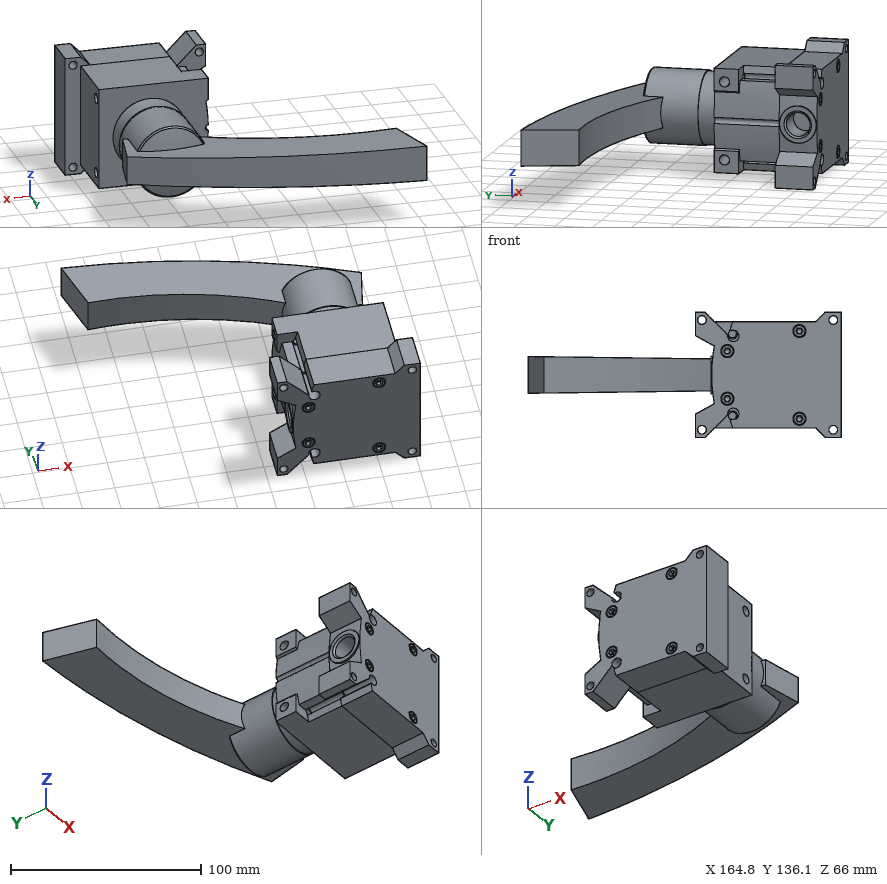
import cadquery as cq
import math


BASE_TOP = 20.5
LUG_FRONT = 42.4
HOUSING_TOP = 55.7
NECK_TOP = 67.5
HUB_EDGE = 97.7
DOME_RISE = 3.1

HOUSING_LEFT = -32.1
HOUSING_RIGHT = 27.7
HALF_HEIGHT = 28.0
SIDE_RADIUS = 89.0

FOOT_LEFT = -40.7
FOOT_RIGHT = 36.1
FOOT_HALF_HEIGHT = 33.0
LEFT_FOOT_FLAT = 5.1
RIGHT_FOOT_FLAT = 8.5
FOOT_INNER_Z = 20.6
FOOT_ROOT_Z = 15.2
FOOT_HOLE_DIAMETER = 4.5
FOOT_HOLE_X = (-37.2, 31.8)
FOOT_HOLE_Z = 28.8

WALL_TOP_X = -21.1
LIP_X = -22.4
LIP_Z = 23.9
BASE_CHANNEL_DIAMETER = 6.0
BASE_CHANNEL_X = -20.8
BASE_CHANNEL_Z = 20.5
HOUSING_CHANNEL_DIAMETER = 5.5
HOUSING_CHANNEL_X = -21.3
HOUSING_CHANNEL_Z = 21.6

SCREW_BORE_DIAMETER = 7.0
SCREW_HEAD_DIAMETER = 6.0
SCREW_SOCKET_DIAMETER = 3.8
SCREW_POINT_DIAMETER = 2.8
SCREW_POINT_DEPTH = 0.8
SCREW_DEPTH = 2.5
SCREW_POINTS = ((-23.9, 12.5), (14.0, 23.0))

PORT_DIAMETER = 12.9
PORT_DEPTH = 16.5
PORT_CHAMFER = 1.0
PORT_BOSS_DIAMETER = 20.0
PORT_BOSS_LEFT = -32.6

LUG_INNER_Z = 15.2
LUG_STEP = 0.8
LUG_HOLE_DIAMETER = 5.5
LUG_HOLE_Y = 50.1
LUG_HOLE_Z = 21.0
GROOVE_WIDTH = 3.3
LUG_PILOT_DIAMETER = 4.1
LUG_PILOT_DEPTH = 4.1

HUB_RADIUS = 40.0 / 2
HUB_CHAMFER = 0.8
NECK_WAIST = 0.5

LEVER_TIP = (-128.7, 136.1)
LEVER_TOP_MIDDLE = (-51.0, 126.9)
LEVER_TOP_END = (25.7, 102.8)
LEVER_HEEL = (21.3, 78.3)
LEVER_INNER_X = -16.5
LEVER_INNER_Y = 86.0
LEVER_BOTTOM_MIDDLE = (-67.9, 103.5)
LEVER_BOTTOM_TIP = (-120.3, 106.8)
LEVER_TIP_HALF_WIDTH = 9.7
LEVER_END_HALF_WIDTH = 7.7


def mirrored(points):
    """Outline points repeated in reverse order on the other side of Z = 0."""
    return [(x, -z) for x, z in reversed(points)]


def side_x(z):
    """X of the curved side at height z."""
    return HOUSING_LEFT + SIDE_RADIUS - math.sqrt(SIDE_RADIUS**2 - z**2)


def prism(sketch, y_start, y_end):
    """Extrude an XZ outline from y_start to y_end; sketch draws it on the given plane."""
    plane = cq.Workplane("XZ", origin=(0, y_start, 0))
    return sketch(plane).extrude(y_start - y_end)


def cylinder_y(diameter, x, z, y_start, y_end):
    return prism(lambda plane: plane.center(x, z).circle(diameter / 2), y_start, y_end)


def cylinder_x(diameter, y, z, x_start, x_end):
    plane = cq.Workplane("YZ", origin=(x_start, y, z))
    return plane.circle(diameter / 2).extrude(x_end - x_start)


def base_channels():
    """Pair of channels with a round bottom, opening between the left foot slope and a steep wall."""
    x, z = BASE_CHANNEL_X, BASE_CHANNEL_Z
    slope_top_x = FOOT_LEFT + LEFT_FOOT_FLAT + FOOT_HALF_HEIGHT - HALF_HEIGHT
    slope_end_x = x - BASE_CHANNEL_DIAMETER / 2
    slope_end_z = HALF_HEIGHT - (slope_end_x - slope_top_x)
    opening = [
        (slope_top_x, HALF_HEIGHT),
        (slope_end_x, slope_end_z),
        (x, z),
        (LIP_X, LIP_Z),
        (WALL_TOP_X, HALF_HEIGHT),
    ]
    upper = prism(lambda plane: plane.polyline(opening).close(), 0, BASE_TOP)
    upper = upper.union(cylinder_y(BASE_CHANNEL_DIAMETER, x, z, 0, BASE_TOP))
    return upper.union(upper.mirror("XY"))


def screw_recess(x, z):
    """Ring gap round a screw head, with a hexagon socket that ends in a cone."""
    gap = cylinder_y(SCREW_BORE_DIAMETER, x, z, 0, SCREW_DEPTH)
    head = cylinder_y(SCREW_HEAD_DIAMETER, x, z, 0, SCREW_DEPTH)
    socket = prism(lambda plane: plane.center(x, z).polygon(6, SCREW_SOCKET_DIAMETER), 0, SCREW_DEPTH)
    point = cq.Solid.makeCone(
        SCREW_POINT_DIAMETER / 2, 0, SCREW_POINT_DEPTH, cq.Vector(x, SCREW_DEPTH, z), cq.Vector(0, 1, 0)
    )
    return gap.cut(head).union(socket).union(cq.Workplane(point))


def base_outline(plane):
    left_foot_end = FOOT_LEFT + LEFT_FOOT_FLAT
    right_foot_end = FOOT_RIGHT - RIGHT_FOOT_FLAT
    foot_rise = FOOT_HALF_HEIGHT - HALF_HEIGHT
    upper = [
        (side_x(FOOT_ROOT_Z), FOOT_ROOT_Z),
        (FOOT_LEFT, FOOT_INNER_Z),
        (FOOT_LEFT, FOOT_HALF_HEIGHT),
        (left_foot_end, FOOT_HALF_HEIGHT),
        (left_foot_end + foot_rise, HALF_HEIGHT),
        (right_foot_end - foot_rise, HALF_HEIGHT),
        (right_foot_end, FOOT_HALF_HEIGHT),
        (FOOT_RIGHT, FOOT_HALF_HEIGHT),
    ]
    outline = plane.polyline(upper + mirrored(upper))
    return outline.threePointArc((HOUSING_LEFT, 0), upper[0]).close()


def add_port(body):
    port_y = BASE_TOP / 2
    boss = cylinder_x(PORT_BOSS_DIAMETER, port_y, 0, PORT_BOSS_LEFT, 0)
    bore = cylinder_x(PORT_DIAMETER, port_y, 0, PORT_BOSS_LEFT, PORT_BOSS_LEFT + PORT_DEPTH)
    mouth = cq.Solid.makeCone(
        PORT_DIAMETER / 2 + PORT_CHAMFER,
        PORT_DIAMETER / 2,
        PORT_CHAMFER,
        cq.Vector(PORT_BOSS_LEFT, port_y, 0),
        cq.Vector(1, 0, 0),
    )
    return body.union(boss).cut(bore).cut(cq.Workplane(mouth))


def make_base():
    base = add_port(prism(base_outline, 0, BASE_TOP))
    base = base.cut(base_channels())
    for side in (1, -1):
        for x in FOOT_HOLE_X:
            base = base.cut(cylinder_y(FOOT_HOLE_DIAMETER, x, side * FOOT_HOLE_Z, 0, BASE_TOP))
        for x, z in SCREW_POINTS:
            base = base.cut(screw_recess(x, side * z))
    return base


def housing_outline(plane):
    """Block outline: straight lug faces with the curved side set back between them."""
    upper = [
        (side_x(LUG_INNER_Z), LUG_INNER_Z),
        (HOUSING_LEFT, LUG_INNER_Z + LUG_STEP),
        (HOUSING_LEFT, HALF_HEIGHT),
        (HOUSING_RIGHT, HALF_HEIGHT),
    ]
    outline = plane.polyline(upper + mirrored(upper))
    return outline.threePointArc((HOUSING_LEFT, 0), upper[0]).close()


def lower_housing_outline(plane):
    """Outline below the lugs, where the curved side runs on to the channel shoulders."""
    upper = [
        (side_x(HOUSING_CHANNEL_Z), HOUSING_CHANNEL_Z),
        (HOUSING_CHANNEL_X, HOUSING_CHANNEL_Z),
        (LIP_X, LIP_Z),
        (WALL_TOP_X, HALF_HEIGHT),
        (HOUSING_RIGHT, HALF_HEIGHT),
    ]
    outline = plane.polyline(upper + mirrored(upper))
    return outline.threePointArc((HOUSING_LEFT, 0), upper[0]).close()


def make_housing():
    housing = prism(lower_housing_outline, BASE_TOP, LUG_FRONT)
    housing = housing.union(prism(housing_outline, LUG_FRONT, HOUSING_TOP))

    housing = housing.cut(cylinder_y(GROOVE_WIDTH, HOUSING_LEFT, 0, BASE_TOP, HOUSING_TOP))
    pilot_end = LUG_FRONT + LUG_PILOT_DEPTH
    for side in (1, -1):
        x, z = HOUSING_CHANNEL_X, side * HOUSING_CHANNEL_Z
        channel_bottom = cylinder_y(HOUSING_CHANNEL_DIAMETER, x, z, BASE_TOP, LUG_FRONT)
        pilot = cylinder_y(LUG_PILOT_DIAMETER, x, z, LUG_FRONT, pilot_end)
        lug_hole = cylinder_x(
            LUG_HOLE_DIAMETER, LUG_HOLE_Y, side * LUG_HOLE_Z, HOUSING_LEFT, HOUSING_RIGHT
        )
        housing = housing.cut(channel_bottom).cut(pilot).cut(lug_hole)
    return housing


def make_neck():
    """Fixed collar with a slightly hollow flank."""
    waist_radius = HUB_RADIUS - NECK_WAIST
    profile = (
        cq.Workplane("XY")
        .moveTo(0, HOUSING_TOP)
        .lineTo(HUB_RADIUS, HOUSING_TOP)
        .threePointArc((waist_radius, (HOUSING_TOP + NECK_TOP) / 2), (waist_radius, NECK_TOP))
        .lineTo(0, NECK_TOP)
        .close()
    )
    return profile.revolve(360, (0, 0, 0), (0, 1, 0))


def make_hub():
    """Round hub with a chamfered edge and a shallow domed end."""
    dome_edge = HUB_RADIUS - HUB_CHAMFER
    dome_radius = (dome_edge**2 + DOME_RISE**2) / (2 * DOME_RISE)
    half_edge = dome_edge / 2
    half_edge_drop = dome_radius - math.sqrt(dome_radius**2 - half_edge**2)
    apex = HUB_EDGE + DOME_RISE
    profile = (
        cq.Workplane("XY")
        .moveTo(0, NECK_TOP)
        .lineTo(HUB_RADIUS, NECK_TOP)
        .lineTo(HUB_RADIUS, HUB_EDGE - HUB_CHAMFER)
        .lineTo(dome_edge, HUB_EDGE)
        .threePointArc((half_edge, apex - half_edge_drop), (0, apex))
        .close()
    )
    return profile.revolve(360, (0, 0, 0), (0, 1, 0))


def make_lever():
    """Curved lever that narrows in Z from its tip to the hub."""
    curve = (
        cq.Workplane("XY")
        .moveTo(*LEVER_TIP)
        .threePointArc(LEVER_TOP_MIDDLE, LEVER_TOP_END)
        .lineTo(*LEVER_HEEL)
        .lineTo(LEVER_INNER_X, LEVER_HEEL[1])
        .lineTo(LEVER_INNER_X, LEVER_INNER_Y)
        .threePointArc(LEVER_BOTTOM_MIDDLE, LEVER_BOTTOM_TIP)
        .close()
        .extrude(LEVER_TIP_HALF_WIDTH, both=True)
    )
    edge = [(LEVER_TIP[0], LEVER_TIP_HALF_WIDTH), (LEVER_TOP_END[0], LEVER_END_HALF_WIDTH)]
    taper = prism(lambda plane: plane.polyline(edge + mirrored(edge)).close(), 0, LEVER_TIP[1])
    return curve.intersect(taper)


base = make_base()
housing = make_housing()
neck = make_neck()
handle = make_hub().union(make_lever())

result = cq.Compound.makeCompound([base.val(), housing.val(), neck.val(), handle.val()])